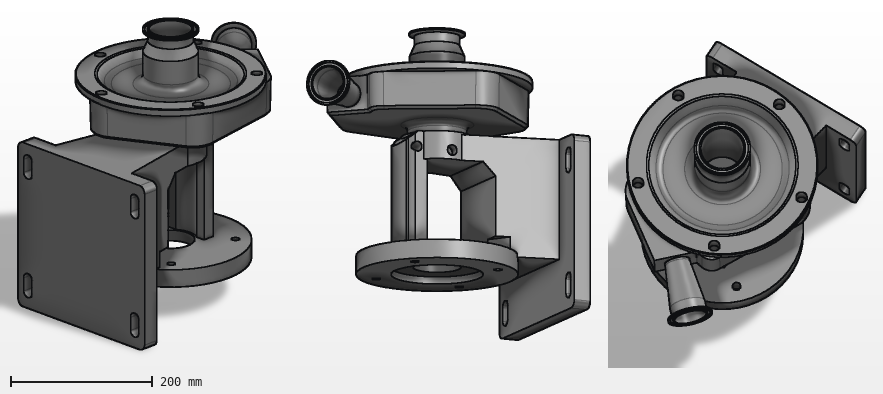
import cadquery as cq
import math


OVERALL_LENGTH = 408.3

PLATE_SIZE = 250.0
PLATE_THICKNESS = 25.0
PLATE_BACK_Y = -180.0
PLATE_CORNER_RADIUS = 10.2
SLOT_LENGTH = 36.5
SLOT_WIDTH = 16.5
SLOT_INSET_X = 19.5
SLOT_INSET_Z = 34.7
PLATE_FRONT_Y = PLATE_BACK_Y + PLATE_THICKNESS

DISC_RADIUS = 114.5
DISC_BOTTOM_Z = 56.5
DISC_THICKNESS = 26.5
DISC_BORE_RADIUS = 34.0
DISC_RECESS_RADIUS = 65.0
DISC_RECESS_DEPTH = 10.2
DISC_TOP_Z = DISC_BOTTOM_Z + DISC_THICKNESS
MOTOR_BOLT_CIRCLE = 91.5
MOTOR_BOLT_COUNT = 4
MOTOR_BOLT_START = 45.0
MOTOR_HOLE_RADIUS = 5.7

HUB_RADIUS = 51.0
HUB_TOP_Z = 252.7
HUB_BOTTOM_Z = 212.7
HUB_HOLE_RADIUS = 7.5
HUB_HOLE_Z = 225.8
HUB_HOLE_DEPTH = 16.5

WEB_BOTTOM_Z = 77.5
WEB_END_HALF_WIDTH = 75.0
WEB_SLOPE = 0.19
WEB_INNER_Y = -64.0
WEB_CHAMFER_Y = 18.0
WEB_CHAMFER_Z = 20.0
NOTCH_DEPTH_Y = 21.0
NOTCH_HEIGHT = 23.3
NOTCH_INNER_X = 31.0

COLUMN_HALF_WIDTH = 35.0
COLUMN_INNER_Y = 31.5
COLUMN_BORE_RADIUS = 37.5
COLUMN_RADIUS = 61.2
RIB_HALF_WIDTH = 24.5
RIB_RADIUS = 64.5
COLUMN_SLANT_Y = 18.8
COLUMN_SLANT_Z = 16.0
COLUMN_HOLE_RADIUS = 7.0
COLUMN_HOLE_Y = 47.0
COLUMN_HOLE_Z = 230.3

CASING_BOTTOM_Z = 272.0
CASING_TOP_Z = 325.0
CASING_APOTHEM = 114.5
CASING_DRAFT = 1.2
CASING_CORNER_RADIUS = 34.0
OUTLET_CORNER_RADIUS = 21.2
CASING_CHAMFER = 4.0
OUTLET_FACE_DISTANCE = 115.0
OUTLET_LIP_DISTANCE = 119.0
OUTLET_BACK_ANGLE = 55.0
OUTLET_BACK_DISTANCE = 142.0
NECK_RADIUS = 42.0
NECK_FILLET = 9.5

COVER_RADIUS = 134.7
COVER_TOP_Z = 335.2
COVER_EDGE_CHAMFER = 1.2
COVER_BOLT_CIRCLE = 121.5
COVER_BOLT_COUNT = 5
COVER_BOLT_START = 45.0
COVER_HOLE_RADIUS = 7.8
COVER_HOLE_DEPTH = 20.5
DISH_FLOOR_Z = 320.0
DISH_FLOOR_RADIUS = 84.0
DISH_FILLET = 14.0
DISH_EDGE_RADIUS = 107.0
DISH_EDGE_DEPTH = 1.2

INLET_RADIUS = 39.0
INLET_FLANGE_RADIUS = 39.5
INLET_FILLET = 14.3
INLET_SHOULDER_Z = 369.5
INLET_NECK_Z = 385.5
INLET_NECK_RADIUS = 32.3
INLET_TOP_Z = 403.5
INLET_BORE_RADIUS = 30.2
INLET_BORE_DEPTH = 117.5

OUTLET_ANGLE = 135.0
OUTLET_OFFSET = 91.0
OUTLET_Z = 299.3
OUTLET_CONE_END = 180.5
OUTLET_CONE_START = 117.5
OUTLET_ROOT_RADIUS = 18.0
OUTLET_PIPE_RADIUS = 25.5
OUTLET_FLANGE_RADIUS = 32.0
OUTLET_WALL = 2.5
OUTLET_TIP_Y = OVERALL_LENGTH + PLATE_BACK_Y
OUTLET_END = OUTLET_TIP_Y * math.sqrt(2) - OUTLET_OFFSET - OUTLET_FLANGE_RADIUS

CLAMP_RIM = 2.5
CLAMP_TAPER = 2.0
GASKET_GROOVE_WIDTH = 4.0
GASKET_GROOVE_DEPTH = 1.2
GASKET_GROOVE_INSET = 3.0


def polar(radius, angle):
    """Point in the XY plane at an angle given in degrees."""
    return radius * math.cos(math.radians(angle)), radius * math.sin(math.radians(angle))


def on_circle(radius, x):
    """Y of the upper half of an axis-centred circle at x."""
    return math.sqrt(radius**2 - x**2)


def cylinder(radius, bottom, top):
    return cq.Workplane("XY", origin=(0, 0, bottom)).circle(radius).extrude(top - bottom)


def foot_plate():
    slot_x = PLATE_SIZE / 2 - SLOT_INSET_X
    slot_z = PLATE_SIZE / 2 - SLOT_INSET_Z
    middle = (0, PLATE_BACK_Y, PLATE_SIZE / 2)
    plate = (
        cq.Workplane("XZ", origin=middle)
        .rect(PLATE_SIZE, PLATE_SIZE)
        .extrude(-PLATE_THICKNESS)
        .edges("|Y")
        .fillet(PLATE_CORNER_RADIUS)
    )
    slots = (
        cq.Workplane("XZ", origin=middle)
        .rect(2 * slot_x, 2 * slot_z, forConstruction=True)
        .vertices()
        .slot2D(SLOT_LENGTH, SLOT_WIDTH, 90)
        .extrude(-PLATE_THICKNESS)
    )
    return plate.cut(slots)


def web():
    """Tapered web with a chamfered inner edge and two corner notches over the motor bolts."""
    hub_half_width = WEB_END_HALF_WIDTH + WEB_SLOPE * PLATE_FRONT_Y
    plan = (
        cq.Workplane("XY", origin=(0, 0, WEB_BOTTOM_Z))
        .polyline([
            (-WEB_END_HALF_WIDTH, PLATE_FRONT_Y),
            (WEB_END_HALF_WIDTH, PLATE_FRONT_Y),
            (hub_half_width, 0),
            (-hub_half_width, 0),
        ])
        .close()
        .extrude(PLATE_SIZE - WEB_BOTTOM_Z)
    )
    side = (
        cq.Workplane("YZ")
        .polyline([
            (PLATE_FRONT_Y, WEB_BOTTOM_Z),
            (WEB_INNER_Y, WEB_BOTTOM_Z),
            (WEB_INNER_Y, HUB_BOTTOM_Z - WEB_CHAMFER_Z),
            (WEB_INNER_Y + WEB_CHAMFER_Y, HUB_BOTTOM_Z),
            (0, HUB_BOTTOM_Z),
            (0, PLATE_SIZE),
            (PLATE_FRONT_Y, PLATE_SIZE),
        ])
        .close()
        .extrude(WEB_END_HALF_WIDTH, both=True)
    )
    notch_y = WEB_INNER_Y - NOTCH_DEPTH_Y
    notch_x = hub_half_width - WEB_SLOPE * notch_y
    notch = (
        cq.Workplane("XY", origin=(0, 0, DISC_TOP_Z))
        .polyline([(NOTCH_INNER_X, WEB_INNER_Y), (notch_x, WEB_INNER_Y), (notch_x, notch_y)])
        .close()
        .extrude(NOTCH_HEIGHT)
    )
    return plan.intersect(side).cut(notch).cut(notch.mirror("YZ"))


def column():
    """Bored column with an outer rib and a slanted top."""
    bore_x = math.sqrt(COLUMN_BORE_RADIUS**2 - COLUMN_INNER_Y**2)
    outer_y = on_circle(COLUMN_RADIUS, COLUMN_HALF_WIDTH)
    step_y = on_circle(COLUMN_RADIUS, RIB_HALF_WIDTH)
    rib_y = on_circle(RIB_RADIUS, RIB_HALF_WIDTH)
    mid_x = (COLUMN_HALF_WIDTH + RIB_HALF_WIDTH) / 2
    mid_y = on_circle(COLUMN_RADIUS, mid_x)
    body = (
        cq.Workplane("XY", origin=(0, 0, DISC_TOP_Z))
        .moveTo(-COLUMN_HALF_WIDTH, COLUMN_INNER_Y)
        .lineTo(-bore_x, COLUMN_INNER_Y)
        .threePointArc((0, COLUMN_BORE_RADIUS), (bore_x, COLUMN_INNER_Y))
        .lineTo(COLUMN_HALF_WIDTH, COLUMN_INNER_Y)
        .lineTo(COLUMN_HALF_WIDTH, outer_y)
        .threePointArc((mid_x, mid_y), (RIB_HALF_WIDTH, step_y))
        .lineTo(RIB_HALF_WIDTH, rib_y)
        .threePointArc((0, RIB_RADIUS), (-RIB_HALF_WIDTH, rib_y))
        .lineTo(-RIB_HALF_WIDTH, step_y)
        .threePointArc((-mid_x, mid_y), (-COLUMN_HALF_WIDTH, outer_y))
        .close()
        .extrude(HUB_TOP_Z - DISC_TOP_Z)
    )
    slant = (
        cq.Workplane("YZ")
        .polyline([
            (RIB_RADIUS, HUB_TOP_Z),
            (RIB_RADIUS, HUB_TOP_Z - COLUMN_SLANT_Z),
            (RIB_RADIUS - COLUMN_SLANT_Y, HUB_TOP_Z),
        ])
        .close()
        .extrude(COLUMN_HALF_WIDTH, both=True)
    )
    return body.cut(slant)


def column_hole():
    """Cross hole along X through the column and the rim of the hub."""
    return (
        cq.Workplane("YZ")
        .center(COLUMN_HOLE_Y, COLUMN_HOLE_Z)
        .circle(COLUMN_HOLE_RADIUS)
        .extrude(COLUMN_HALF_WIDTH, both=True)
    )


def lantern():
    hub = cylinder(HUB_RADIUS, HUB_BOTTOM_Z, HUB_TOP_Z)
    disc = cylinder(DISC_RADIUS, DISC_BOTTOM_Z, DISC_TOP_Z)
    hub_hole = (
        cq.Workplane("YZ", origin=(-HUB_RADIUS, 0, HUB_HOLE_Z))
        .circle(HUB_HOLE_RADIUS)
        .extrude(HUB_HOLE_DEPTH)
    )
    body = disc.union(web()).union(hub).union(column()).union(foot_plate())
    body = body.cut(cylinder(DISC_BORE_RADIUS, DISC_BOTTOM_Z, DISC_TOP_Z))
    body = body.cut(cylinder(DISC_RECESS_RADIUS, DISC_BOTTOM_Z, DISC_BOTTOM_Z + DISC_RECESS_DEPTH))
    body = body.cut(hub_hole).cut(column_hole())
    for i in range(MOTOR_BOLT_COUNT):
        x, y = polar(MOTOR_BOLT_CIRCLE, MOTOR_BOLT_START + i * 360 / MOTOR_BOLT_COUNT)
        body = body.cut(cylinder(MOTOR_HOLE_RADIUS, DISC_BOTTOM_Z, DISC_TOP_Z).translate((x, y, 0)))
    return body


def side_crossing(first, second):
    """Point where two casing sides meet, each given as (normal angle, distance from the axis)."""
    a1, d1 = math.radians(first[0]), first[1]
    a2, d2 = math.radians(second[0]), second[1]
    det = math.sin(a2 - a1)
    x = (d1 * math.sin(a2) - d2 * math.sin(a1)) / det
    y = (d2 * math.cos(a1) - d1 * math.cos(a2)) / det
    return x, y


def casing():
    """Rounded pentagon casing whose outlet side is pushed out into a block."""
    step = 360 / COVER_BOLT_COUNT
    first_side = COVER_BOLT_START - step / 2
    plain_sides = [(first_side + i * step, CASING_APOTHEM) for i in range(2, COVER_BOLT_COUNT + 1)]
    outlet_sides = [
        (OUTLET_BACK_ANGLE, OUTLET_BACK_DISTANCE),
        (OUTLET_ANGLE, OUTLET_FACE_DISTANCE),
        (first_side + step, OUTLET_LIP_DISTANCE),
    ]
    sides = plain_sides + outlet_sides
    corners = [side_crossing(sides[i - 1], side) for i, side in enumerate(sides)]
    body = (
        cq.Workplane("XY", origin=(0, 0, CASING_TOP_Z))
        .polyline(corners)
        .close()
        .extrude(CASING_BOTTOM_Z - CASING_TOP_Z, taper=CASING_DRAFT)
    )
    radii = [OUTLET_CORNER_RADIUS] + 4 * [CASING_CORNER_RADIUS]
    for (x, y), radius in zip(corners, radii):
        middle = (x, y, (CASING_BOTTOM_Z + CASING_TOP_Z) / 2)
        body = body.edges("not #Z").edges(cq.NearestToPointSelector(middle)).fillet(radius)
    body = body.faces("<Z").edges().chamfer(CASING_CHAMFER)
    neck = (
        cq.Workplane("XZ")
        .moveTo(0, HUB_TOP_Z)
        .lineTo(NECK_RADIUS, HUB_TOP_Z)
        .lineTo(NECK_RADIUS, CASING_BOTTOM_Z - NECK_FILLET)
        .radiusArc((NECK_RADIUS + NECK_FILLET, CASING_BOTTOM_Z), NECK_FILLET)
        .lineTo(0, CASING_BOTTOM_Z)
        .close()
        .revolve(360, (0, 0, 0), (0, 1, 0))
    )
    return body.union(neck)


def cover_dish():
    """Ring-shaped pocket around the inlet pipe, with a 45 degree outer wall."""
    diagonal = math.sqrt(0.5)
    wall_x = DISH_FLOOR_RADIUS + DISH_FILLET * diagonal
    wall_z = DISH_FLOOR_Z + DISH_FILLET * (1 - diagonal)
    wall_top_z = COVER_TOP_Z - DISH_EDGE_DEPTH
    return (
        cq.Workplane("XZ")
        .moveTo(INLET_RADIUS, COVER_TOP_Z)
        .lineTo(INLET_RADIUS, DISH_FLOOR_Z + INLET_FILLET)
        .radiusArc((INLET_RADIUS + INLET_FILLET, DISH_FLOOR_Z), -INLET_FILLET)
        .lineTo(DISH_FLOOR_RADIUS, DISH_FLOOR_Z)
        .radiusArc((wall_x, wall_z), -DISH_FILLET)
        .lineTo(wall_x + wall_top_z - wall_z, wall_top_z)
        .lineTo(DISH_EDGE_RADIUS, COVER_TOP_Z)
        .close()
        .revolve(360, (0, 0, 0), (0, 1, 0))
    )


def cover_bolt_hole():
    """Blind hole with a 45 degree drill point."""
    bottom_z = COVER_TOP_Z - COVER_HOLE_DEPTH
    return (
        cq.Workplane("XZ")
        .polyline([
            (0, COVER_TOP_Z),
            (COVER_HOLE_RADIUS, COVER_TOP_Z),
            (COVER_HOLE_RADIUS, bottom_z),
            (0, bottom_z - COVER_HOLE_RADIUS),
        ])
        .close()
        .revolve(360, (0, 0, 0), (0, 1, 0))
    )


def cover():
    return cylinder(COVER_RADIUS, CASING_TOP_Z, COVER_TOP_Z).faces(">Z").chamfer(COVER_EDGE_CHAMFER)


def clamp_flange_points(pipe_radius, flange_radius, end):
    """Half profile of a clamp flange with a gasket groove, as (radius, distance) points."""
    rim = end - CLAMP_RIM
    groove_outer = flange_radius - GASKET_GROOVE_INSET
    groove_inner = groove_outer - GASKET_GROOVE_WIDTH
    groove_bottom = end - GASKET_GROOVE_DEPTH
    return [
        (pipe_radius, rim - CLAMP_TAPER),
        (flange_radius, rim),
        (flange_radius, end),
        (groove_outer, end),
        (groove_outer, groove_bottom),
        (groove_inner, groove_bottom),
        (groove_inner, end),
        (0, end),
    ]


def inlet_pipe():
    pipe = [
        (0, DISH_FLOOR_Z),
        (INLET_RADIUS, DISH_FLOOR_Z),
        (INLET_RADIUS, INLET_SHOULDER_Z),
        (INLET_NECK_RADIUS, INLET_NECK_Z),
    ]
    flange = clamp_flange_points(INLET_NECK_RADIUS, INLET_FLANGE_RADIUS, INLET_TOP_Z)
    return cq.Workplane("XZ").polyline(pipe + flange).close().revolve(360, (0, 0, 0), (0, 1, 0))


def outlet_revolve(profile):
    """Revolve (radius, distance) points about the outlet axis."""
    x, y = polar(OUTLET_OFFSET, OUTLET_ANGLE - 90)
    plane = cq.Plane(origin=(x, y, OUTLET_Z), xDir=(0, 0, 1), normal=(-x, -y, 0))
    return cq.Workplane(plane).polyline(profile).close().revolve(360, (0, 0, 0), (0, 1, 0))


def outlet_nozzle():
    pipe = [
        (0, OUTLET_FACE_DISTANCE - CASING_CHAMFER),
        (OUTLET_ROOT_RADIUS, OUTLET_FACE_DISTANCE - CASING_CHAMFER),
        (OUTLET_ROOT_RADIUS, OUTLET_CONE_START),
        (OUTLET_PIPE_RADIUS, OUTLET_CONE_END),
    ]
    flange = clamp_flange_points(OUTLET_PIPE_RADIUS, OUTLET_FLANGE_RADIUS, OUTLET_END)
    nozzle = outlet_revolve(pipe + flange)
    bore = outlet_revolve([
        (0, OUTLET_CONE_START),
        (OUTLET_ROOT_RADIUS - OUTLET_WALL, OUTLET_CONE_START),
        (OUTLET_PIPE_RADIUS - OUTLET_WALL, OUTLET_CONE_END),
        (OUTLET_PIPE_RADIUS - OUTLET_WALL, OUTLET_END),
        (0, OUTLET_END),
    ])
    return nozzle.cut(bore)


def pump():
    body = casing().union(cover()).cut(cover_dish())
    body = body.union(inlet_pipe()).union(outlet_nozzle())
    body = body.cut(cylinder(INLET_BORE_RADIUS, INLET_TOP_Z - INLET_BORE_DEPTH, INLET_TOP_Z))
    for i in range(COVER_BOLT_COUNT):
        x, y = polar(COVER_BOLT_CIRCLE, COVER_BOLT_START + i * 360 / COVER_BOLT_COUNT)
        body = body.cut(cover_bolt_hole().translate((x, y, 0)))
    return body


result = lantern().union(pump())